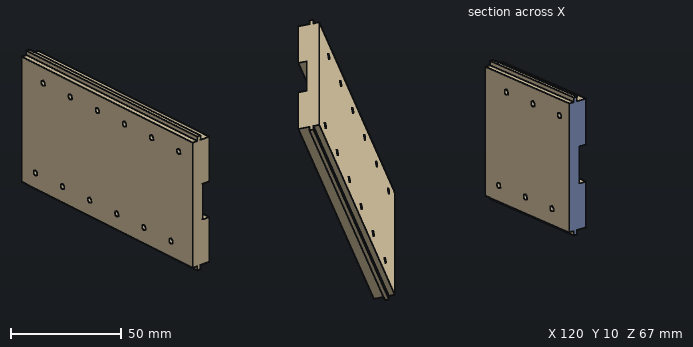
import cadquery as cq

length = 120.0
thickness = 10.0
overall_height = 67.0

tongue_height = 2.2
tongue_width = 1.9
tongue_setback = 2.8

channel_height = 17.8
channel_depth = 4.0

hole_diameter = 2.5
hole_count = 6
hole_row_span = 95.0
hole_row_inset = 10.1
upper_row_start = 15.1
lower_row_start = 9.7

body_height = overall_height - 2 * tongue_height
hole_pitch = hole_row_span / (hole_count - 1)


def centred_bar(depth, height, front):
    """Full-length bar centred in X and Z, with its front face at Y = front."""
    bar = cq.Workplane("XY").box(length, depth, height, centered=(True, False, True))
    return bar.translate((0, front, 0))


def hole_row(first_hole, z):
    """Cutters for a row of holes running through the thickness."""
    first_x = first_hole - length / 2
    centres = [(first_x + i * hole_pitch, z) for i in range(hole_count)]
    return cq.Workplane("XZ").pushPoints(centres).circle(hole_diameter / 2).extrude(-thickness)


plate = centred_bar(thickness, body_height, 0)
tongues = centred_bar(tongue_width, overall_height, tongue_setback)

channel = centred_bar(channel_depth, channel_height, thickness - channel_depth)

row_z = overall_height / 2 - hole_row_inset
upper_holes = hole_row(upper_row_start, row_z)
lower_holes = hole_row(lower_row_start, -row_z)

result = plate.union(tongues).cut(channel).cut(upper_holes).cut(lower_holes)